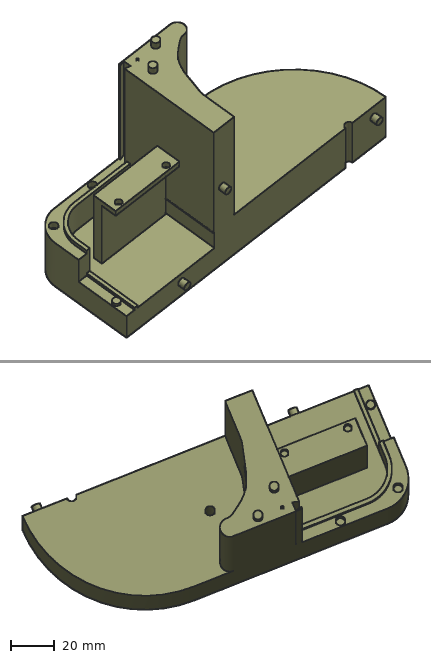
import cadquery as cq

body_width = 60.0
body_length = 170.0
base_height = 27.2
ledge_height = 29.8
tower_height = 94.0
front_corner_radius = 15.0
fillet_clearance = 0.002
pin_diameter = 4.2
small_pin_diameter = 4.0
pin_length = 3.9
hole_diameter = 4.5
blind_hole_depth = 3.9

wall_y = 57.1
tower_back_y = 70.5
nose_radius = 4.5
nose_center_y = 91.0
curve_points = [(10.9, 85.7), (16.2, 79.2), (23.8, 74.8), (35.7, 71.5)]
wire_hole_diameter = 1.3
wire_hole_center = (4.0, 65.3)
top_pin_centers = [(4.0, 77.2), (13.8, 65.3)]
groove_depth = 3.0
groove_mouth = (1.0, 3.7)
groove_bottom = (0.3, 4.6)

floor_height = 14.8
ridge_offset = 5.3
ridge_thickness = 2.0
ridge_height = 2.0
ridge_corner_radius = 17.2
cavity_offset = ridge_offset + ridge_thickness
cavity_corner_radius = ridge_corner_radius - ridge_thickness
notch_x = 29.8
notch_ridge_height = 1.5
recess_x = 19.0
recess_top = 25.2
recess_depth = 0.5

bracket_x = 24.5
bracket_width = 14.0
bracket_front_y = 15.3
bracket_top = 57.5
flange_thickness = 3.2
bracket_hole_diameter = 3.5
bracket_hole_centers = [(35.5, 20.2), (35.5, 51.3)]

through_hole_centers = [(body_width / 2, 90.1), (body_width, 145.9)]
ledge_hole_centers = [(2.7, 37.2), (7.1, 7.1)]
notch_pin_center = (51.0, 2.7)
side_pins = [
    (62.5, 53.0, small_pin_diameter),
    (35.9, 9.4, pin_diameter),
    (161.8, 20.0, pin_diameter),
]


def block(x0, x1, y0, y1, z0, z1):
    """Box given by its limits along each axis."""
    return cq.Workplane("XY").box(x1 - x0, y1 - y0, z1 - z0, centered=False).translate((x0, y0, z0))


def post(center, diameter, z0, z1):
    """Vertical cylinder between two heights."""
    return cq.Workplane("XY", origin=(*center, z0)).circle(diameter / 2).extrude(z1 - z0)


def corner_block(offset, radius, z0, z1):
    """Block in front of the wall, inset from the outside, with its front-left corner rounded."""
    shape = block(offset, body_width, offset, wall_y, z0, z1)
    return shape.edges("|Z and <X and <Y").fillet(radius)


def make_base():
    rear = block(0, body_width, wall_y, body_length, 0, base_height)
    rear = rear.edges("|Z and <X and >Y").fillet(body_width - fillet_clearance)
    return rear.union(corner_block(0, front_corner_radius, 0, ledge_height))


def make_tower():
    nose_right = (2 * nose_radius, nose_center_y)
    tower = (
        cq.Workplane("XY")
        .moveTo(0, wall_y)
        .lineTo(0, nose_center_y)
        .threePointArc((nose_radius, nose_center_y + nose_radius), nose_right)
        .spline(curve_points + [(body_width, tower_back_y)], tangents=[(0, -1), (1, 0)], includeCurrent=True)
        .lineTo(body_width, wall_y)
        .close()
        .extrude(tower_height)
    )
    groove = (
        cq.Workplane("XY", origin=(0, 0, ledge_height))
        .moveTo(groove_mouth[0], wall_y)
        .lineTo(groove_bottom[0], wall_y + groove_depth)
        .lineTo(groove_bottom[1], wall_y + groove_depth)
        .lineTo(groove_mouth[1], wall_y)
        .close()
        .extrude(tower_height - ledge_height)
    )
    wire_hole = post(wire_hole_center, wire_hole_diameter, tower_height - blind_hole_depth, tower_height)
    tower = tower.cut(groove).cut(wire_hole)
    for center in top_pin_centers:
        tower = tower.union(post(center, pin_diameter, tower_height, tower_height + pin_length))
    return tower


def make_ridge(z0, z1):
    outer = corner_block(ridge_offset, ridge_corner_radius, z0, z1)
    return outer.cut(corner_block(cavity_offset, cavity_corner_radius, z0, z1))


def make_bracket():
    flange_bottom = bracket_top - flange_thickness
    web = block(bracket_x, notch_x, bracket_front_y, wall_y, floor_height, bracket_top)
    flange = block(bracket_x, bracket_x + bracket_width, bracket_front_y, wall_y, flange_bottom, bracket_top)
    bracket = web.union(flange)
    for center in bracket_hole_centers:
        bracket = bracket.cut(post(center, bracket_hole_diameter, flange_bottom, bracket_top))
    return bracket


def make_side_pin(y, z, diameter):
    return cq.Workplane("YZ", origin=(body_width, y, z)).circle(diameter / 2).extrude(pin_length)


ridge_top = ledge_height + ridge_height
result = make_base().union(make_tower())
result = result.union(make_ridge(ledge_height, ridge_top))
result = result.cut(corner_block(cavity_offset, cavity_corner_radius, floor_height, ridge_top))

result = result.cut(block(notch_x, body_width, 0, cavity_offset, floor_height, ridge_top))
notch_ridge_top = floor_height + notch_ridge_height
result = result.union(block(notch_x, body_width, ridge_offset, cavity_offset, floor_height, notch_ridge_top))
result = result.union(post(notch_pin_center, small_pin_diameter, floor_height, notch_ridge_top))

result = result.cut(block(recess_x, body_width, wall_y, wall_y + recess_depth, floor_height, recess_top))
result = result.union(make_bracket())

for hole_center in through_hole_centers:
    result = result.cut(post(hole_center, hole_diameter, 0, base_height))
for hole_center in ledge_hole_centers:
    result = result.cut(post(hole_center, hole_diameter, ledge_height - blind_hole_depth, ledge_height))
for side_pin in side_pins:
    result = result.union(make_side_pin(*side_pin))